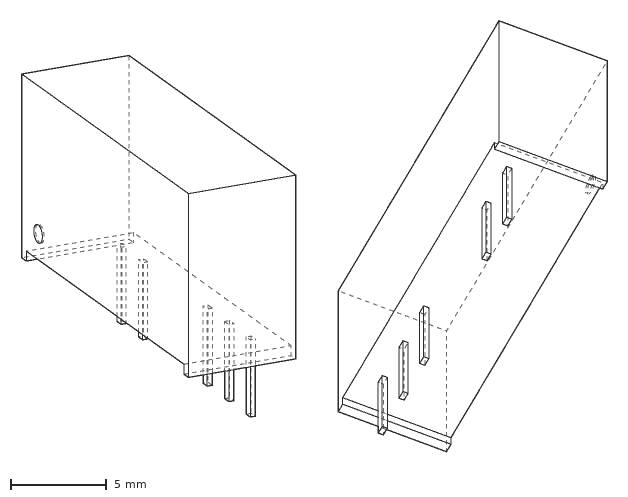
import cadquery as cq

LENGTH = 19.75
DEPTH = 6.25
HOUSING_HEIGHT = 10.25
FOOT_LENGTH = 0.55
FOOT_HEIGHT = 0.55

PIN_WIDTH = 0.5
PIN_THICKNESS = 0.3
PIN_DROP = 3.75
PIN_PITCH = 2.55
FIRST_PIN_X = 1.95
PIN_BACK_GAP = 1.25
PIN_PLACES = (0, 1, 4, 5, 6)

MARKER_DIAMETER = 1.0
MARKER_THICKNESS = 0.1
MARKER_X = FIRST_PIN_X
MARKER_Z = 2.0


def make_marker():
    """Disc reaching from the front face into the housing."""
    return (
        cq.Workplane("XZ")
        .center(MARKER_X, MARKER_Z)
        .circle(MARKER_DIAMETER / 2)
        .extrude(-MARKER_THICKNESS)
    )


def make_housing(marker):
    """Block with a shallow channel between the feet and a recess for the marker."""
    block = cq.Workplane("XY").box(LENGTH, DEPTH, HOUSING_HEIGHT, centered=False)
    channel = (
        cq.Workplane("XY")
        .box(LENGTH - 2 * FOOT_LENGTH, DEPTH, FOOT_HEIGHT, centered=False)
        .translate((FOOT_LENGTH, 0, 0))
    )
    return block.cut(channel).cut(marker)


def make_pin(place):
    """Flat pin hanging from the underside of the housing."""
    pin_x = FIRST_PIN_X + place * PIN_PITCH
    pin_y = DEPTH - PIN_BACK_GAP - PIN_THICKNESS
    return (
        cq.Workplane("XY")
        .box(PIN_WIDTH, PIN_THICKNESS, PIN_DROP + FOOT_HEIGHT, centered=(True, False, False))
        .translate((pin_x, pin_y, -PIN_DROP))
    )


marker = make_marker()
housing = make_housing(marker)
pins = [make_pin(place) for place in PIN_PLACES]

result = cq.Compound.makeCompound([housing.val(), marker.val(), *[pin.val() for pin in pins]])